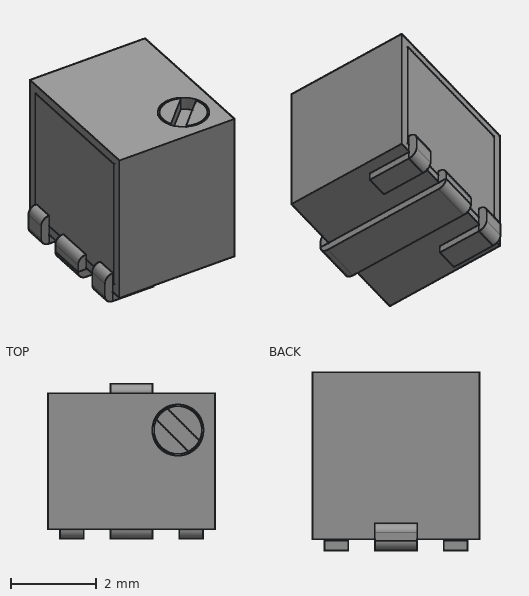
import cadquery as cq

total_depth = 3.62
total_height = 4.16

housing_width = 3.9
housing_height = 3.9
terminal_thickness = 0.22
housing_front_y = -total_depth / 2 + terminal_thickness
housing_back_y = -housing_front_y
cover_border = 0.24
cover_thickness = 0.24
cover_size = housing_width - 2 * cover_border
housing_base_z = total_height - housing_height
housing_middle_z = housing_base_z + housing_height / 2

screw_x = 1.08
screw_y = 0.73
screw_hole_radius = 0.6
screw_radius = 0.557
screw_length = 0.5
slot_width = 0.36
slot_depth = 0.3
slot_angle = -45

foot_thickness = 0.225
edge_flat = 0.005
edge_radius = terminal_thickness - edge_flat
side_terminal_x = 1.39
side_terminal_width = 0.557
side_clip_height = 0.8
side_foot_length = 1.125
centre_terminal_width = 0.99
centre_clip_height = 0.635


def box_between(width, front_y, back_y, base_z, top_z):
    """Box centred on X, spanning the given Y and Z limits."""
    return cq.Workplane("XY").box(
        width, back_y - front_y, top_z - base_z, centered=(True, False, False)
    ).translate((0, front_y, base_z))


def make_cover():
    """Square cover set flush into the front face."""
    return box_between(
        cover_size,
        housing_front_y,
        housing_front_y + cover_thickness,
        housing_middle_z - cover_size / 2,
        housing_middle_z + cover_size / 2,
    )


def make_housing():
    """Block with a recess for the cover and a blind hole for the screw."""
    block = box_between(
        housing_width, housing_front_y, housing_back_y, housing_base_z, total_height
    )
    screw_hole = (
        cq.Workplane("XY", origin=(screw_x, screw_y, total_height))
        .circle(screw_hole_radius)
        .extrude(-screw_length)
    )
    return block.cut(make_cover()).cut(screw_hole)


def make_screw():
    """Flush screw with a diagonal screwdriver slot, seated on the hole floor."""
    top = cq.Workplane("XY", origin=(screw_x, screw_y, total_height))
    slot = (
        top.transformed(rotate=(0, 0, slot_angle))
        .rect(2 * screw_hole_radius, slot_width)
        .extrude(-slot_depth)
    )
    return top.circle(screw_radius).extrude(-screw_length).cut(slot)


def make_side_clip(x):
    """Upright front clip with both outer edges rounded."""
    return (
        box_between(side_terminal_width, -total_depth / 2, housing_front_y, 0, side_clip_height)
        .translate((x, 0, 0))
        .faces("<Y")
        .edges("|X")
        .fillet(edge_radius)
    )


def make_side_foot(x):
    """Flat foot running back from a side clip, clear of the housing."""
    foot = box_between(
        side_terminal_width, housing_front_y, housing_front_y + side_foot_length, 0, foot_thickness
    )
    return foot.translate((x, 0, 0))


def make_centre_bar():
    """Bar under the housing, with rounded lower edges at both ends."""
    return (
        box_between(centre_terminal_width, -total_depth / 2, total_depth / 2, 0, foot_thickness)
        .faces("<Z")
        .edges("|X")
        .fillet(edge_radius)
    )


def make_centre_clip(facing_back):
    """Clip standing on one end of the centre bar, its outer top edge rounded."""
    clip = (
        box_between(
            centre_terminal_width, -total_depth / 2, housing_front_y, foot_thickness, centre_clip_height
        )
        .faces("<Y")
        .edges(">Z")
        .fillet(edge_radius)
    )
    return clip.mirror("XZ") if facing_back else clip


housing = make_housing()
cover = make_cover()
screw = make_screw()
side_positions = (-side_terminal_x, side_terminal_x)
side_clips = [make_side_clip(x) for x in side_positions]
side_feet = [make_side_foot(x) for x in side_positions]
centre_bar = make_centre_bar()
centre_clips = [make_centre_clip(facing_back) for facing_back in (False, True)]

bodies = [housing, cover, screw, centre_bar, *side_clips, *side_feet, *centre_clips]
result = cq.Compound.makeCompound([body.val() for body in bodies])